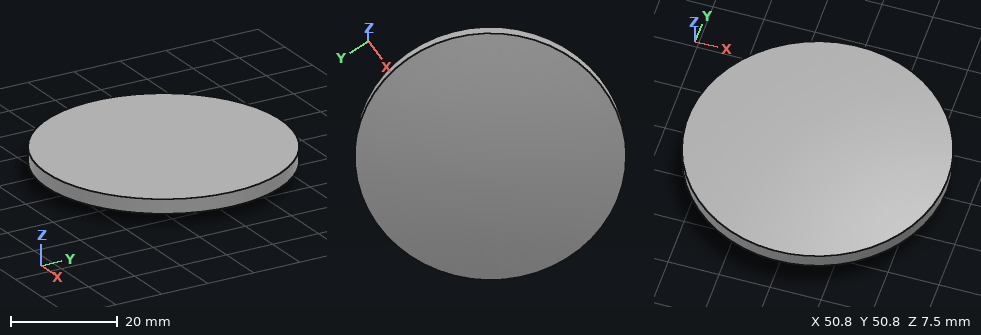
import cadquery as cq
import math

diameter = 50.8
centre_thickness = 7.5
edge_thickness = 3.0

radius = diameter / 2
half_edge = edge_thickness / 2
half_centre = centre_thickness / 2
sag = half_centre - half_edge

face_radius = (radius**2 + sag**2) / (2 * sag)

middle_x = radius / 2
middle_z = half_centre - face_radius + math.sqrt(face_radius**2 - middle_x**2)

half_section = (
    cq.Workplane("XZ")
    .moveTo(0, -half_centre)
    .threePointArc((middle_x, -middle_z), (radius, -half_edge))
    .lineTo(radius, half_edge)
    .threePointArc((middle_x, middle_z), (0, half_centre))
    .close()
)

result = half_section.revolve(360, (0, 0, 0), (0, 1, 0))